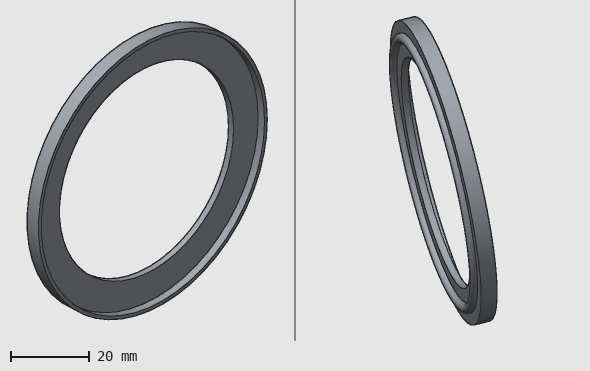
import cadquery as cq

outer_diameter = 79.5
bore_diameter = 60.4
total_thickness = 5.8

recess_diameter = 77.5
web_thickness = 1.9

bead_outer_diameter = 73.15
bead_width = 2.6
bead_wall_height = 0.2

bead_crown_radius = bead_width / 2
bead_height = bead_wall_height + bead_crown_radius
ring_thickness = total_thickness - bead_height
bead_outer_radius = bead_outer_diameter / 2
bead_inner_radius = bead_outer_radius - bead_width
bead_middle_radius = bead_outer_radius - bead_crown_radius


def make_ring():
    """Flat ring from the X = 0 face toward +X."""
    return (
        cq.Workplane("YZ")
        .circle(outer_diameter / 2)
        .circle(bore_diameter / 2)
        .extrude(ring_thickness)
    )


def make_recess():
    """Cylinder removed from behind the web."""
    return (
        cq.Workplane("YZ", origin=(web_thickness, 0, 0))
        .circle(recess_diameter / 2)
        .extrude(ring_thickness - web_thickness)
    )


def make_bead():
    """Straight-walled bead with a semicircular crown, revolved about X."""
    root_x = web_thickness / 2
    return (
        cq.Workplane("XY")
        .moveTo(root_x, bead_inner_radius)
        .lineTo(-bead_wall_height, bead_inner_radius)
        .threePointArc(
            (-bead_height, bead_middle_radius),
            (-bead_wall_height, bead_outer_radius),
        )
        .lineTo(root_x, bead_outer_radius)
        .close()
        .revolve(360, (0, 0, 0), (1, 0, 0))
    )


result = make_ring().cut(make_recess()).union(make_bead())